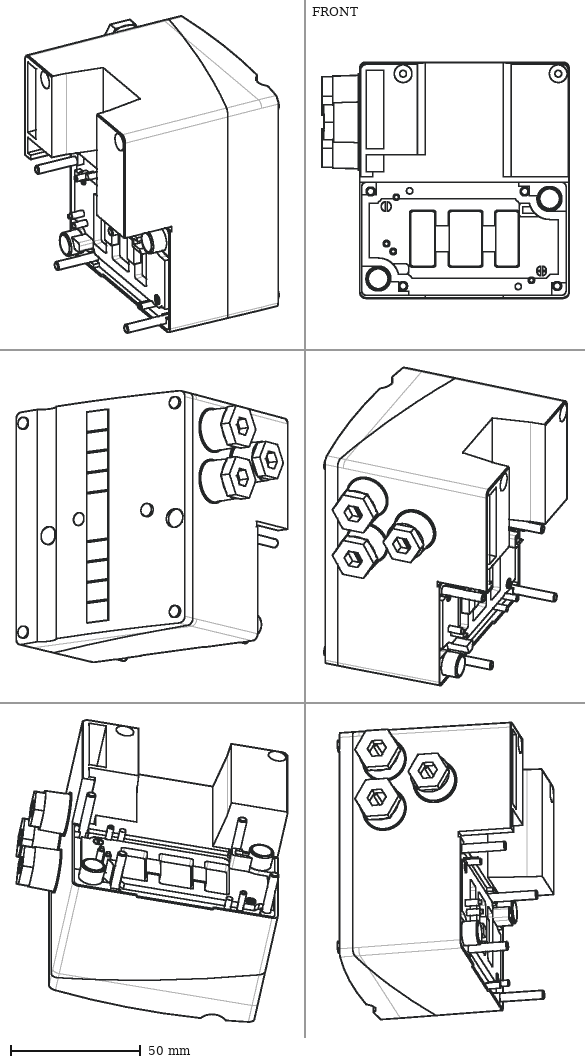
import cadquery as cq
import math


WIDTH = 80.6
HEIGHT = 91.0
BLOCK_DEPTH = 71.0
CORNER_R = 2.5
DRAFT_START_Y = 60.0
DRAFT = 0.5
FRONT_CHAMFER = 0.4

BACK_ARC = [(0, 67.5), (WIDTH / 2, 70.2), (WIDTH, 67.4)]
PARTING_ARC = [(0, 62.3), (WIDTH / 2, 55.8), (WIDTH, 45.3)]

FRAME_Y = 20.0
WALL_Y = 20.7
LEG_BOTTOM = 46.8
LEFT_LEG_BOTTOM = 55.4
SIDE_WALL = 2.6
BEND_Y = 6.0
LEFT_LEG_FRONT_X = 22.1
LEFT_LEG_BEND_X = 22.6
LEFT_LEG_ROOT_X = 25.3
RIGHT_LEG_FRONT_X = 58.4
RIGHT_LEG_BEND_X = 57.9
RIGHT_LEG_ROOT_X = 55.2

TAB_END_X = 5.0
TAB_TOP = 48.7

POCKET_RIGHT_X = 9.3
POCKET_FLOOR_Y = 30.0
POCKET_BOTTOM = 57.6
POCKET_TOP = 87.9

SCREW_XZ = [(16.7, 86.5), (76.4, 86.5)]
COUNTERBORE_D = 6.8
COUNTERBORE_DEPTH = 12.0
SCREW_D = 2.6
SCREW_DEPTH = 30.0

PLUGS = [
    ((49.8, 77.9), 17.2, 15.6, 14.57, 4.2),
    ((49.8, 57.9), 17.2, 15.6, 14.57, 4.2),
    ((29.9, 67.8), 15.4, 15.2, 13.8, 3.8),
]
COLLAR_D = 17.0
COLLAR_LENGTH = 0.5
BARREL_TAPER = 1.5
PLUG_ROOT = 1.0
SOCKET_CORNERS = 7.3
SOCKET_DEPTH = 4.0
SLOT_WIDTH = 1.4
SLOT_DEPTH = 1.0
SLOT_ANGLE = -30.0

LABEL_X = 39.5
LABEL_WIDTH = 10.0
LABEL_Y = 70.8
LABEL_BOTTOM = 4.3
LABEL_TOP = 86.9
LABEL_PITCH = 7.95
LABEL_GROOVES = 4
LABEL_GROOVE_WIDTH = 0.5
LABEL_GROOVE_DEPTH = 0.5

CAP_D = 4.6
CAP_Y = 68.8
CAP_XZ = [(x, z) for x in (4.2, 76.4) for z in (4.6, 86.4)]
STUD_D = 5.0
STUD_Y = 70.2
STUD_X = [16.5, 48.7]
STUD_ROOT_Y = 65.0

GROOVE_X = 65.1
GROOVE_WIDTH = 9.6
GROOVE_DEPTH = 2.1
GROOVE_MOUTH_Y = 69.0
BUTTON_D = 6.9
BUTTON_Z = 41.3
BUTTON_Y = 69.1
BUTTON_EDGE_Y = 67.6
DISH_X = 4.5
DISH_D = 7.2
DISH_FLOOR_Y = 67.1

PLATE_X = 40.1
PLATE_Z = 23.0
PLATE_HALF_WIDTH = 39.3
PLATE_HALF_HEIGHT = 21.7
PLATE_R = 1.6
PLATE_FLOOR_Y = 22.5
PLATE_BACK_Y = 26.0

PANEL_HALF_WIDTH = 36.4
PANEL_HALF_HEIGHT = 15.3
LUG_TOP = 13.7
LUG_BOTTOM = 8.4
SOLID_LUG_BOTTOM = 9.7
LUG_LEFT = 21.3
LUG_WALL = 1.4
LUG_Y = 13.8
LUG_R = 1.0

BOSS_X = 33.0
BOSS_Z = 15.4
BOSS_D = 9.4
BOSS_HOLE_D = 7.6
BOSS_Y = 13.8
BOSS_CHAMFER = 0.5
BOSS_CLEARANCE_R = 8.0
PAD_R = 4.9
PAD_SHOULDER_Z = 16.6
PAD_NECK_X = 25.1
PAD_NECK_Z = 20.2
PAD_END_X = 21.2
CORNER_PAD_X = 33.8
CORNER_PAD_Z = 16.9

WINDOWS = [(-20.5, -11.2), (-5.6, 6.9), (12.3, 20.9)]
WINDOW_HALF_HEIGHT = 10.5
WINDOW_R = 0.7
WINDOW_FLOOR_Y = 23.1
WINDOW_TAPER = 8.0
BRIDGE_HALF_HEIGHT = 5.0
BRIDGE_Y = 19.5

LONG_PINS = [(35.9, -18.2), (-35.9, 18.2), (23.4, 18.2)]
CUT_PIN = (-23.4, -18.2)
LONG_PIN_D = 3.4
LONG_PIN_Y = 3.0
CUT_PIN_Y = 4.8
SHORT_PINS = [(26.0, -16.0)]
SHORT_PIN_D = 2.4
SHORT_PIN_Y = 14.6
PEGS = [(20.9, -18.4)]
PEG_D = 2.4
PEG_Y = 17.0
CONTACTS = [(-29.8, -1.9), (-27.2, -4.9)]
CONTACT_D = 2.5
CONTACT_Y = 14.8
CONTACT_TIP_D = 1.6
CONTACT_TIP_Y = 13.8
PIN_CHAMFER = 0.4

MARK_X = 29.9
MARK_Z = 12.4
MARK_D = 3.8
MARK_DEPTH = 0.4
MARK_BAR = 0.7


def box(x0, x1, y0, y1, z0, z1):
    """Axis-aligned box between two limits on each axis."""
    return cq.Workplane("XY").box(x1 - x0, y1 - y0, z1 - z0, centered=False).translate((x0, y0, z0))


def front_plane(y, x=0.0, z=0.0):
    """Sketch plane facing the front (-Y); sketch axes are X and Z."""
    return cq.Workplane("XZ", origin=(x, y, z))


def plate_plane(y):
    """Front-facing sketch plane centred on the connection plate."""
    return front_plane(y, PLATE_X, PLATE_Z)


def plate_rod(points, diameter, back_y, front_y):
    """Round rods at the given plate points."""
    return plate_plane(back_y).pushPoints(points).circle(diameter / 2).extrude(back_y - front_y)


def plate_block(x0, x1, z0, z1, back_y, front_y):
    """Rectangular block given by its limits on the plate."""
    sketch = plate_plane(back_y).center((x0 + x1) / 2, (z0 + z1) / 2).rect(x1 - x0, z1 - z0)
    return sketch.extrude(back_y - front_y)


def opposite(points):
    """The same points turned half a turn about the plate centre."""
    return [(-x, -z) for x, z in points]


def turned(body):
    """The body turned half a turn about the plate axis."""
    return body.rotate((PLATE_X, 0, PLATE_Z), (PLATE_X, 1, PLATE_Z), 180)


def outer_block():
    """Block with rounded long edges whose top and bottom are drafted toward the front."""
    profile = [
        (0, DRAFT), (DRAFT_START_Y, 0), (BLOCK_DEPTH, 0),
        (BLOCK_DEPTH, HEIGHT), (DRAFT_START_Y, HEIGHT), (0, HEIGHT - DRAFT),
    ]
    block = cq.Workplane("YZ").polyline(profile).close().extrude(WIDTH)
    block = block.edges("(<X or >X) and (not |Z)").fillet(CORNER_R)
    return block.faces("<Y").chamfer(FRONT_CHAMFER)


def region_in_front_of(arc):
    """Everything in front of an upright curved surface given by a three-point arc."""
    left, middle, right = arc
    outline = cq.Workplane("XY").moveTo(0, 0).lineTo(*left).threePointArc(middle, right).lineTo(WIDTH, 0)
    return outline.close().extrude(HEIGHT)


def plug(center, corners, barrel_d, reach, head_length):
    """Cable plug with a hexagon head, hexagon socket and screwdriver slot."""
    def at(x):
        return cq.Workplane("YZ", origin=(x, *center))

    barrel_length = reach - head_length + PLUG_ROOT
    barrel = at(-reach + head_length).circle(barrel_d / 2).extrude(barrel_length, taper=-BARREL_TAPER)
    collar = at(-COLLAR_LENGTH).circle(COLLAR_D / 2).extrude(COLLAR_LENGTH + PLUG_ROOT)
    head = at(-reach).polygon(6, corners).extrude(head_length)
    socket = at(-reach).polygon(6, SOCKET_CORNERS).extrude(SOCKET_DEPTH)
    slot = at(-reach + SOCKET_DEPTH).transformed(rotate=(0, 0, SLOT_ANGLE))
    slot = slot.rect(SLOT_WIDTH, SOCKET_CORNERS * math.cos(math.pi / 6)).extrude(SLOT_DEPTH)
    return barrel.union(collar).union(head).cut(socket).cut(slot)


def leg_gap():
    """Space between the legs, with sloping flanks."""
    outline = [
        (LEFT_LEG_FRONT_X, 0), (LEFT_LEG_BEND_X, BEND_Y), (LEFT_LEG_ROOT_X, WALL_Y),
        (RIGHT_LEG_ROOT_X, WALL_Y), (RIGHT_LEG_BEND_X, BEND_Y), (RIGHT_LEG_FRONT_X, 0),
    ]
    return cq.Workplane("XY").polyline(outline).close().extrude(HEIGHT)


def plate_opening():
    """Rounded prism filled by the connection plate."""
    opening = plate_plane(PLATE_BACK_Y).rect(2 * PLATE_HALF_WIDTH, 2 * PLATE_HALF_HEIGHT)
    return opening.extrude(PLATE_BACK_Y - FRAME_Y).edges("|Y").fillet(PLATE_R)


def screw_holes():
    bores = front_plane(COUNTERBORE_DEPTH).pushPoints(SCREW_XZ).circle(COUNTERBORE_D / 2)
    holes = front_plane(SCREW_DEPTH).pushPoints(SCREW_XZ).circle(SCREW_D / 2)
    return bores.extrude(COUNTERBORE_DEPTH).union(holes.extrude(SCREW_DEPTH))


def make_housing(block):
    plate_top = PLATE_Z + PLATE_HALF_HEIGHT
    body = block.intersect(region_in_front_of(PARTING_ARC))
    body = body.cut(leg_gap())
    body = body.cut(box(0, WIDTH, 0, FRAME_Y, 0, LEG_BOTTOM))
    body = body.cut(box(0, WIDTH, 0, WALL_Y, plate_top, LEG_BOTTOM))
    body = body.cut(box(SIDE_WALL, LEFT_LEG_ROOT_X, 0, WALL_Y, TAB_TOP, LEFT_LEG_BOTTOM))
    body = body.cut(box(TAB_END_X, LEFT_LEG_ROOT_X, 0, WALL_Y, LEG_BOTTOM, TAB_TOP))
    body = body.cut(box(SIDE_WALL, POCKET_RIGHT_X, 0, POCKET_FLOOR_Y, POCKET_BOTTOM, POCKET_TOP))
    body = body.cut(box(SIDE_WALL, POCKET_RIGHT_X, 0, POCKET_FLOOR_Y, TAB_TOP, LEFT_LEG_BOTTOM))
    body = body.cut(screw_holes())
    body = body.cut(plate_opening())
    for plug_size in PLUGS:
        body = body.union(plug(*plug_size))
    return body


def label_strip():
    """Raised strip on the back, grooved into fields near both ends."""
    half_width = LABEL_WIDTH / 2
    left = LABEL_X - half_width
    right = LABEL_X + half_width
    strip = box(left, right, STUD_ROOT_Y, LABEL_Y, LABEL_BOTTOM, LABEL_TOP)
    for i in range(1, LABEL_GROOVES + 1):
        for z in (LABEL_BOTTOM + i * LABEL_PITCH, LABEL_TOP - i * LABEL_PITCH):
            low = z - LABEL_GROOVE_WIDTH / 2
            high = z + LABEL_GROOVE_WIDTH / 2
            strip = strip.cut(box(left, right, LABEL_Y - LABEL_GROOVE_DEPTH, LABEL_Y, low, high))
    return strip


def back_studs(points, diameter, top_y):
    """Round studs standing on the back of the cover."""
    return front_plane(top_y).pushPoints(points).circle(diameter / 2).extrude(-(STUD_ROOT_Y - top_y))


def finger_groove():
    """Upright groove with a circular-arc cross-section."""
    half_width = GROOVE_WIDTH / 2
    radius = (half_width ** 2 + GROOVE_DEPTH ** 2) / (2 * GROOVE_DEPTH)
    center_y = GROOVE_MOUTH_Y - GROOVE_DEPTH + radius
    return cq.Workplane("XY").center(GROOVE_X, center_y).circle(radius).extrude(HEIGHT)


def button():
    """Domed button in the groove."""
    half = BUTTON_D / 2
    rise = BUTTON_Y - BUTTON_EDGE_Y
    radius = (half ** 2 + rise ** 2) / (2 * rise)
    half_angle = math.asin(half / radius) / 2
    middle = (radius * math.sin(half_angle), BUTTON_Y - radius * (1 - math.cos(half_angle)))
    profile = cq.Workplane("XY", origin=(GROOVE_X, 0, BUTTON_Z)).moveTo(0, STUD_ROOT_Y)
    profile = profile.lineTo(half, STUD_ROOT_Y).lineTo(half, BUTTON_EDGE_Y)
    profile = profile.threePointArc(middle, (0, BUTTON_Y)).close()
    return profile.revolve(360, (0, 0, 0), (0, 1, 0))


def make_cover(block):
    body = block.intersect(region_in_front_of(BACK_ARC)).cut(region_in_front_of(PARTING_ARC))
    body = body.cut(finger_groove())
    dish = front_plane(BLOCK_DEPTH, DISH_X, BUTTON_Z).circle(DISH_D / 2).extrude(BLOCK_DEPTH - DISH_FLOOR_Y)
    body = body.cut(dish)
    body = body.union(button())
    body = body.union(label_strip())
    body = body.union(back_studs(CAP_XZ, CAP_D, CAP_Y))
    return body.union(back_studs([(x, HEIGHT / 2) for x in STUD_X], STUD_D, STUD_Y))


def panel_half():
    """Upper-right part of the raised panel; its half-turn copy completes the panel."""
    arc_start_x = BOSS_X - math.sqrt(BOSS_CLEARANCE_R ** 2 - (BOSS_Z - LUG_TOP) ** 2)
    arc_end_z = BOSS_Z - BOSS_CLEARANCE_R
    start_angle = math.pi + math.asin((BOSS_Z - LUG_TOP) / BOSS_CLEARANCE_R)
    mid_angle = (start_angle + 1.5 * math.pi) / 2
    arc_middle = (
        BOSS_X + BOSS_CLEARANCE_R * math.cos(mid_angle),
        BOSS_Z + BOSS_CLEARANCE_R * math.sin(mid_angle),
    )
    step = PANEL_HALF_HEIGHT - LUG_TOP
    outline = plate_plane(PLATE_FLOOR_Y).moveTo(LUG_LEFT - step, PANEL_HALF_HEIGHT).lineTo(LUG_LEFT, LUG_TOP)
    outline = outline.lineTo(arc_start_x, LUG_TOP).threePointArc(arc_middle, (BOSS_X, arc_end_z))
    outline = outline.lineTo(PANEL_HALF_WIDTH, arc_end_z).lineTo(PANEL_HALF_WIDTH, -LUG_TOP)
    outline = outline.lineTo(PANEL_HALF_WIDTH - 2 * step, -LUG_TOP)
    outline = outline.lineTo(PANEL_HALF_WIDTH - 3 * step, -PANEL_HALF_HEIGHT)
    outline = outline.lineTo(step - LUG_LEFT, -PANEL_HALF_HEIGHT)
    return outline.close().extrude(PLATE_FLOOR_Y - FRAME_Y)


def boss_pad():
    """Raised pad around the upper-right boss and the pin beside it."""
    reach = math.sqrt(PAD_R ** 2 - (PAD_SHOULDER_Z - BOSS_Z) ** 2)
    mid_angle = math.radians(-140)
    pad_bottom = BOSS_Z - PAD_R
    outline = plate_plane(PLATE_FLOOR_Y).moveTo(PLATE_HALF_WIDTH, pad_bottom).lineTo(BOSS_X, pad_bottom)
    arc_middle = (BOSS_X + PAD_R * math.cos(mid_angle), BOSS_Z + PAD_R * math.sin(mid_angle))
    outline = outline.threePointArc(arc_middle, (BOSS_X - reach, PAD_SHOULDER_Z))
    outline = outline.lineTo(PAD_NECK_X, PAD_SHOULDER_Z).lineTo(PAD_NECK_X, PAD_NECK_Z)
    outline = outline.lineTo(PAD_END_X, PAD_NECK_Z).lineTo(PAD_END_X, PLATE_HALF_HEIGHT)
    outline = outline.lineTo(PLATE_HALF_WIDTH, PLATE_HALF_HEIGHT).close()
    return outline.extrude(PLATE_FLOOR_Y - FRAME_Y)


def corner_pad():
    """Raised pad around the pin in the lower-right corner."""
    return plate_block(
        CORNER_PAD_X, PLATE_HALF_WIDTH, -PLATE_HALF_HEIGHT, -CORNER_PAD_Z, PLATE_FLOOR_Y, FRAME_Y
    )


def boss():
    """Hollow round boss, upper right."""
    center = [(BOSS_X, BOSS_Z)]
    tube = plate_rod(center, BOSS_D, PLATE_FLOOR_Y, BOSS_Y).faces("<Y").chamfer(BOSS_CHAMFER)
    return tube.cut(plate_rod(center, BOSS_HOLE_D, FRAME_Y, BOSS_Y))


def lug(bottom):
    """Guide lug, upper right, cut back by the rounded panel corner."""
    block = plate_block(LUG_LEFT, BOSS_X, bottom, LUG_TOP, PLATE_FLOOR_Y, LUG_Y)
    block = block.faces("<X").edges("|Y").fillet(LUG_R)
    return block.cut(plate_rod([(BOSS_X, BOSS_Z)], 2 * BOSS_CLEARANCE_R, PLATE_FLOOR_Y, LUG_Y))


def lug_cavity():
    """Slot that leaves the upper-right lug as a U-shaped wall."""
    return plate_block(
        LUG_LEFT + LUG_WALL, BOSS_X, LUG_BOTTOM + LUG_WALL, LUG_TOP - LUG_WALL, FRAME_Y, LUG_Y
    )


def polarity_mark(x, z, bar_angles):
    """Shallow round recess that keeps straight bars standing."""
    floor_y = FRAME_Y + MARK_DEPTH
    mark = plate_rod([(x, z)], MARK_D, floor_y, FRAME_Y)
    for angle in bar_angles:
        bar = plate_plane(floor_y).center(x, z).transformed(rotate=(0, 0, angle)).rect(MARK_BAR, MARK_D)
        mark = mark.cut(bar.extrude(MARK_DEPTH))
    return mark


def chamfered_pins(points, diameter, front_y):
    return plate_rod(points, diameter, PLATE_FLOOR_Y, front_y).faces("<Y").chamfer(PIN_CHAMFER)


def make_plate():
    body = plate_opening().cut(box(0, WIDTH, 0, PLATE_FLOOR_Y, 0, HEIGHT))
    raised = panel_half().union(boss_pad()).union(corner_pad()).intersect(plate_opening())
    body = body.union(raised).union(turned(raised))

    for x0, x1 in WINDOWS:
        window = plate_plane(WINDOW_FLOOR_Y).center((x0 + x1) / 2, 0).sketch()
        window = window.rect(x1 - x0, 2 * WINDOW_HALF_HEIGHT).vertices().fillet(WINDOW_R).finalize()
        body = body.cut(window.extrude(WINDOW_FLOOR_Y - FRAME_Y, taper=-WINDOW_TAPER))
    for before, after in zip(WINDOWS, WINDOWS[1:]):
        bridge = plate_block(
            before[1], after[0], -BRIDGE_HALF_HEIGHT, BRIDGE_HALF_HEIGHT, PLATE_FLOOR_Y, BRIDGE_Y
        )
        body = body.union(bridge)
    body = body.cut(polarity_mark(-MARK_X, MARK_Z, [0]))
    body = body.cut(polarity_mark(MARK_X, -MARK_Z, [0, 90]))

    hollow_lug = lug(LUG_BOTTOM).cut(lug_cavity())
    solid_lug = turned(lug(SOLID_LUG_BOTTOM))
    body = body.union(hollow_lug).union(solid_lug)

    body = body.union(chamfered_pins(LONG_PINS, LONG_PIN_D, LONG_PIN_Y))
    body = body.union(chamfered_pins([CUT_PIN], LONG_PIN_D, CUT_PIN_Y))
    body = body.union(chamfered_pins(SHORT_PINS + opposite(SHORT_PINS), SHORT_PIN_D, SHORT_PIN_Y))
    body = body.union(plate_rod(PEGS + opposite(PEGS), PEG_D, PLATE_FLOOR_Y, PEG_Y))
    body = body.union(plate_rod(CONTACTS, CONTACT_D, PLATE_FLOOR_Y, CONTACT_Y))
    body = body.union(plate_rod(CONTACTS, CONTACT_TIP_D, PLATE_FLOOR_Y, CONTACT_TIP_Y))

    hollow_boss = boss()
    return body.union(hollow_boss).union(turned(hollow_boss))


outer = outer_block()
housing = make_housing(outer)
cover = make_cover(outer)
connection_plate = make_plate()

result = cq.Compound.makeCompound([
    housing.solids().val(), cover.solids().val(), connection_plate.solids().val(),
])